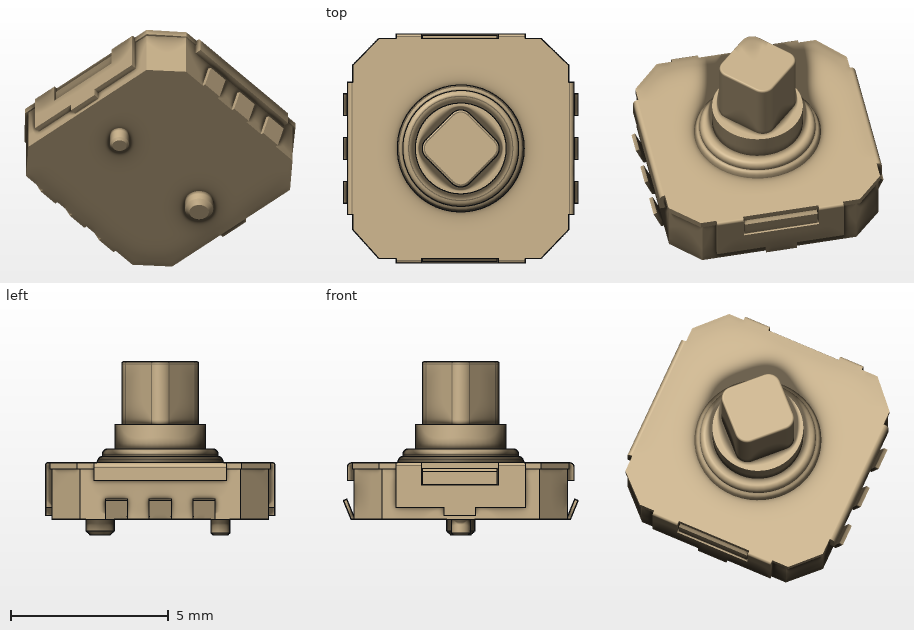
import cadquery as cq

COVER_TOP = 1.8
COVER_THICKNESS = 0.2
COVER_BOTTOM = COVER_TOP - COVER_THICKNESS
COLLAR_TOP = 3.01
STEM_TOP = 5.0

HOUSING_X = 6.77
HOUSING_Y = 6.875
HOUSING_CORNER = 0.89

PLATE_X = 6.845
PLATE_Y = 6.98
CUT_LEFT = -2.6
CUT_RIGHT = 2.545
CUT_FRONT = -2.575
CUT_BACK = 2.64

SIDE_FLANGE_SPAN = 7.19
SIDE_FLANGE_WIDTH = 4.195
SIDE_FLANGE_BOTTOM = 1.235
SIDE_BEND_RADIUS = 0.15

END_FLANGE_SPAN = 7.27
END_FLANGE_WIDTH = 4.09
END_FLANGE_BOTTOM = 0.39
END_BEND_RADIUS = 0.08
TONGUE_WIDTH = 0.99
TONGUE_BOTTOM = 0.13
WINDOW_WIDTH = 2.44
WINDOW_BOTTOM = 1.085
LATCH_CENTER_X = -0.03

LATCH_SPAN = 7.165
LATCH_WIDTH = 2.35
LATCH_BOTTOM = 1.1
LATCH_TOP = 1.62
LATCH_CHAMFER = 0.105

TERMINAL_COUNT = 3
TERMINAL_PITCH = 1.39
TERMINAL_WIDTH = 0.7
TERMINAL_FOOT_X = 3.475
TERMINAL_TIP_X = 3.72
TERMINAL_TIP_Z = 0.6
TERMINAL_EDGE_X = 3.61
TERMINAL_EDGE_Z = 0.65

PEG_LENGTH = 0.5
PEG_OFFSET = 1.905
BACK_PEG_DIAMETER = 0.9
BACK_PEG_CHAMFER = 0.14
FRONT_PEG_DIAMETER = 0.6
FRONT_PEG_CHAMFER = 0.075

SKIRT_DIAMETER = 4.025
SKIRT_TOP = 2.0
SKIRT_TAPER = 23
SKIRT_ROUND = 0.16
CAP_DIAMETER = 3.675
CAP_TOP = 2.24
CAP_ROUND = 0.185

COLLAR_DIAMETER = 2.88
STEM_SIDE = 1.96
STEM_CORNER_RADIUS = 0.395
STEM_RIM_ROUND = 0.07


def block(size_x, size_y, bottom, top, center_x=0):
    """Box between two heights, centred on Y = 0."""
    base = cq.Workplane("XY").workplane(offset=bottom).center(center_x, 0)
    return base.rect(size_x, size_y).extrude(top - bottom)


def housing():
    return block(HOUSING_X, HOUSING_Y, 0, COVER_BOTTOM).edges("|Z").chamfer(HOUSING_CORNER)


def cover_plate():
    half_x = PLATE_X / 2
    half_y = PLATE_Y / 2
    outline = [
        (CUT_LEFT, -half_y),
        (CUT_RIGHT, -half_y),
        (half_x, CUT_FRONT),
        (half_x, CUT_BACK),
        (CUT_RIGHT, half_y),
        (CUT_LEFT, half_y),
        (-half_x, CUT_BACK),
        (-half_x, CUT_FRONT),
    ]
    base = cq.Workplane("XY").workplane(offset=COVER_BOTTOM)
    return base.polyline(outline).close().extrude(COVER_THICKNESS)


def side_flanges():
    flanges = block(SIDE_FLANGE_SPAN, SIDE_FLANGE_WIDTH, SIDE_FLANGE_BOTTOM, COVER_TOP)
    return flanges.edges(">Z and |Y").fillet(SIDE_BEND_RADIUS)


def end_flanges():
    """Front and back flanges, each with a centre tongue and a latch window open at the top."""
    flanges = block(END_FLANGE_WIDTH, END_FLANGE_SPAN, END_FLANGE_BOTTOM, COVER_TOP)
    flanges = flanges.edges(">Z and |X").fillet(END_BEND_RADIUS)
    tongues = block(TONGUE_WIDTH, END_FLANGE_SPAN, TONGUE_BOTTOM, END_FLANGE_BOTTOM, LATCH_CENTER_X)
    windows = block(WINDOW_WIDTH, END_FLANGE_SPAN, WINDOW_BOTTOM, COVER_TOP, LATCH_CENTER_X)
    return flanges.union(tongues).cut(windows)


def latches():
    bars = block(LATCH_WIDTH, LATCH_SPAN, LATCH_BOTTOM, LATCH_TOP, LATCH_CENTER_X)
    return bars.edges(">Z and |X").chamfer(LATCH_CHAMFER)


def terminals():
    """Rows of slanted terminals on the left and right; their roots lie inside the housing."""
    lean_x = TERMINAL_TIP_X - TERMINAL_FOOT_X
    inner_foot_x = TERMINAL_EDGE_X - lean_x * TERMINAL_EDGE_Z / TERMINAL_TIP_Z
    profile = [
        (inner_foot_x, 0),
        (TERMINAL_FOOT_X, 0),
        (TERMINAL_TIP_X, TERMINAL_TIP_Z),
        (TERMINAL_EDGE_X, TERMINAL_EDGE_Z),
    ]
    terminal = cq.Workplane("XZ").polyline(profile).close().extrude(TERMINAL_WIDTH / 2, both=True)
    row = cq.Workplane("XY")
    for index in range(TERMINAL_COUNT):
        y = (index - (TERMINAL_COUNT - 1) / 2) * TERMINAL_PITCH
        row = row.add(terminal.translate((0, y, 0)))
    row = row.combine()
    return row.union(row.mirror("YZ"))


def peg(diameter, chamfer, y):
    pin = cq.Workplane("XY").center(0, y).circle(diameter / 2).extrude(-PEG_LENGTH)
    return pin.faces("<Z").chamfer(chamfer)


def disc(diameter, bottom, top, taper=0):
    """Round step on the stem axis; a positive taper, in degrees, narrows it upwards."""
    return cq.Workplane("XY").workplane(offset=bottom).circle(diameter / 2).extrude(top - bottom, taper=taper)


def dome():
    skirt = disc(SKIRT_DIAMETER, COVER_TOP, SKIRT_TOP, SKIRT_TAPER).edges(">Z").fillet(SKIRT_ROUND)
    cap = disc(CAP_DIAMETER, COVER_TOP, CAP_TOP).edges(">Z").fillet(CAP_ROUND)
    return skirt.union(cap)


def collar():
    return disc(COLLAR_DIAMETER, CAP_TOP, COLLAR_TOP)


def stem():
    """Square post standing cornerwise, with rounded corners and rim."""
    post = block(STEM_SIDE, STEM_SIDE, COLLAR_TOP, STEM_TOP)
    post = post.edges("|Z").fillet(STEM_CORNER_RADIUS)
    post = post.faces(">Z").edges().fillet(STEM_RIM_ROUND)
    return post.rotate((0, 0, 0), (0, 0, 1), 45)


result = (
    housing()
    .union(side_flanges())
    .union(end_flanges())
    .union(cover_plate())
    .union(latches())
    .union(terminals())
    .union(peg(BACK_PEG_DIAMETER, BACK_PEG_CHAMFER, PEG_OFFSET))
    .union(peg(FRONT_PEG_DIAMETER, FRONT_PEG_CHAMFER, -PEG_OFFSET))
    .union(dome())
    .union(collar())
    .union(stem())
)